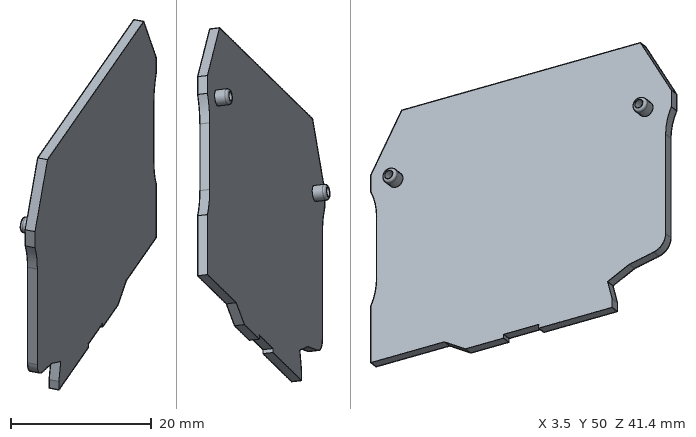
import cadquery as cq
import math

plate_thickness = 1.5
plate_width = 50.0
plate_height = 41.35
half_width = plate_width / 2

top_half_width = 19.85
shoulder_top = 32.3
shoulder_bottom = 29.6
waist_depth = 0.95
waist_radius = 9.5
waist_half_width = half_width - waist_depth
waist_blend_height = math.sqrt(waist_radius**2 - (waist_radius - waist_depth) ** 2)
waist_top = shoulder_bottom - waist_blend_height
left_flare_bottom = 11.2

left_bottom = 2.1
ramp_outer_y = 12.75
ramp_inner_y = 9.25
notch_half_width = 2.9
notch_depth = 0.6
foot_y = -15.15
foot_height = 1.45
hook_y = -14.4
hook_height = 4.35
bend_y = -18.0

corner_radius = 2.5
corner_center_y = corner_radius - waist_half_width
corner_center_z = 9.45
underside_angle = math.radians(12)

peg_y = 20.8
peg_z = 30.35
peg_length = 2.0
peg_radius = 1.15
peg_rounding = 0.45
peg_hole_mouth_radius = 0.65
peg_hole_floor_radius = 0.35


def corner_point(angle):
    """Point on the lower corner arc, with the angle measured from -Z toward -Y."""
    y = corner_center_y - corner_radius * math.sin(angle)
    z = corner_center_z - corner_radius * math.cos(angle)
    return y, z


def waist_blend_middle(side, flare_z, direction):
    """Middle of a blend arc tangent to the waist; direction is from waist to flare in Z."""
    half_angle = math.asin(waist_blend_height / waist_radius) / 2
    y = waist_half_width + waist_radius * (1 - math.cos(half_angle))
    waist_z = flare_z - direction * waist_blend_height
    z = waist_z + direction * waist_radius * math.sin(half_angle)
    return side * y, z


def make_plate():
    underside_y, underside_z = corner_point(underside_angle)
    bend_z = underside_z - (bend_y - underside_y) * math.tan(underside_angle)
    corner_middle = corner_point((underside_angle + math.pi / 2) / 2)
    outline = (
        cq.Workplane("YZ")
        .moveTo(top_half_width, plate_height)
        .lineTo(half_width, shoulder_top)
        .lineTo(half_width, shoulder_bottom)
        .threePointArc(waist_blend_middle(1, shoulder_bottom, 1), (waist_half_width, waist_top))
        .lineTo(waist_half_width, left_flare_bottom + waist_blend_height)
        .threePointArc(waist_blend_middle(1, left_flare_bottom, -1), (half_width, left_flare_bottom))
        .lineTo(half_width, left_bottom)
        .lineTo(ramp_outer_y, left_bottom)
        .lineTo(ramp_inner_y, 0)
        .lineTo(notch_half_width, 0)
        .lineTo(notch_half_width, notch_depth)
        .lineTo(-notch_half_width, notch_depth)
        .lineTo(-notch_half_width, 0)
        .lineTo(foot_y, 0)
        .lineTo(foot_y, foot_height)
        .lineTo(hook_y, hook_height)
        .lineTo(bend_y, bend_z)
        .lineTo(underside_y, underside_z)
        .threePointArc(corner_middle, (-waist_half_width, corner_center_z))
        .lineTo(-waist_half_width, waist_top)
        .threePointArc(waist_blend_middle(-1, shoulder_bottom, 1), (-half_width, shoulder_bottom))
        .lineTo(-half_width, shoulder_top)
        .lineTo(-top_half_width, plate_height)
        .close()
    )
    return outline.extrude(plate_thickness)


def make_peg(y):
    """Round peg with a rounded tip and a tapered blind hole down to the plate face."""
    peg = cq.Workplane("YZ").center(y, peg_z).circle(peg_radius).extrude(-peg_length)
    peg = peg.faces("<X").edges().fillet(peg_rounding)
    hole = (
        cq.Workplane("YZ")
        .center(y, peg_z)
        .circle(peg_hole_floor_radius)
        .workplane(offset=-peg_length)
        .circle(peg_hole_mouth_radius)
        .loft()
    )
    return peg.cut(hole)


result = make_plate()
for side in (-1, 1):
    result = result.union(make_peg(side * peg_y))